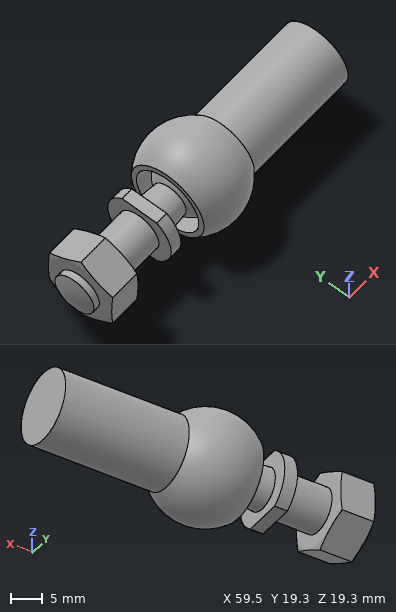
import cadquery as cq
import math

dome_height = 0.8
nut_start = 2.1
nut_width = 6.5
collar_start = 16.55
collar_width = 2.4
socket_face = 23.4
socket_center = 29.5
total_length = 59.5

stud_radius = 8.0 / 2
neck_base_radius = 3.75
neck_tip_radius = 6.65 / 2
ball_radius = 13.0 / 2
bore_radius = 6.35
socket_radius = 9.65
shank_radius = 13.05 / 2
nut_across_flats = 13.0
nut_chamfer_radius = 6.35
nut_chamfer_width = 0.3
collar_radius = 13.05 / 2
collar_across_flats = 10.95


def arc_offset(radius, height):
    """Axial distance from a circle's center to its point at the given height."""
    return math.sqrt(radius**2 - height**2)


def sphere_point(radius, x):
    """Point at axial position x on a circle about the socket center."""
    return x, arc_offset(radius, x - socket_center)


def revolve_about_x(profile):
    return profile.close().revolve(360, (0, 0, 0), (1, 0, 0))


def make_stud_and_socket():
    """Stud, tapered neck, ball, open socket and shank turned as one profile."""
    collar_end = collar_start + collar_width
    neck_end = socket_center - arc_offset(ball_radius, neck_tip_radius)
    bore_end = socket_center - arc_offset(ball_radius, bore_radius)
    shank_start = socket_center + arc_offset(socket_radius, shank_radius)
    dome_radius = (stud_radius**2 + dome_height**2) / (2 * dome_height)
    dome_mid_x = dome_height / 4
    dome_mid_height = arc_offset(dome_radius, dome_radius - dome_mid_x)
    profile = (
        cq.Workplane("XY")
        .threePointArc((dome_mid_x, dome_mid_height), (dome_height, stud_radius))
        .lineTo(collar_end, stud_radius)
        .lineTo(collar_end, neck_base_radius)
        .lineTo(neck_end, neck_tip_radius)
        .threePointArc(sphere_point(ball_radius, (neck_end + bore_end) / 2), (bore_end, bore_radius))
        .lineTo(socket_face, bore_radius)
        .lineTo(*sphere_point(socket_radius, socket_face))
        .threePointArc((socket_center, socket_radius), (shank_start, shank_radius))
        .lineTo(total_length, shank_radius)
        .lineTo(total_length, 0)
    )
    return revolve_about_x(profile)


def make_nut():
    """Hexagon nut with corners up and down and both ends chamfered."""
    corner_radius = nut_across_flats / math.sqrt(3)
    nut_end = nut_start + nut_width
    hexagon = (
        cq.Workplane("YZ", origin=(nut_start, 0, 0))
        .transformed(rotate=(0, 0, 90))
        .polygon(6, 2 * corner_radius)
        .extrude(nut_width)
    )
    chamfer_envelope = revolve_about_x(
        cq.Workplane("XY")
        .moveTo(nut_start, 0)
        .lineTo(nut_start, nut_chamfer_radius)
        .lineTo(nut_start + nut_chamfer_width, corner_radius)
        .lineTo(nut_end - nut_chamfer_width, corner_radius)
        .lineTo(nut_end, nut_chamfer_radius)
        .lineTo(nut_end, 0)
    )
    return hexagon.intersect(chamfer_envelope)


def make_collar():
    """Round collar with a wrench flat on its top and bottom."""
    collar_plane = cq.Workplane("YZ", origin=(collar_start, 0, 0))
    disc = collar_plane.circle(collar_radius).extrude(collar_width)
    flats = collar_plane.rect(2 * collar_radius, collar_across_flats).extrude(collar_width)
    return disc.intersect(flats)


result = make_stud_and_socket().union(make_nut()).union(make_collar())